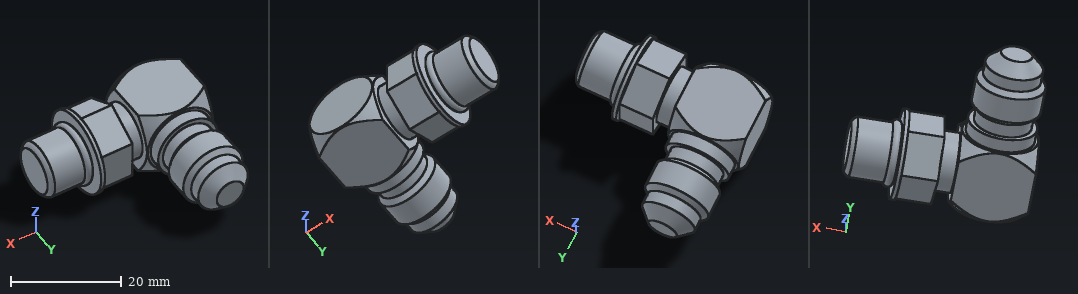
import cadquery as cq
import math

BLOCK_SIZE = 14.27
BLOCK_HALF = BLOCK_SIZE / 2
BLOCK_FACE_RADIUS = 7.0

FLARE_END_Y = 24.0
FLARE_COLLAR_RADIUS = 6.39
FLARE_NECK_RADIUS = 5.34
FLARE_TIP_RADIUS = 2.9
FLARE_FOOT_END_Y = 9.65
FLARE_COLLAR_START_Y = 13.25
FLARE_COLLAR_END_Y = 18.12
FLARE_COLLAR_CHAMFER = FLARE_COLLAR_RADIUS - FLARE_NECK_RADIUS
FLARE_CONE_HEIGHT = FLARE_NECK_RADIUS - FLARE_TIP_RADIUS

OVERALL_LENGTH_X = 34.04
STUD_END_X = OVERALL_LENGTH_X - BLOCK_HALF
STUD_RADIUS = 5.56
STUD_CHAMFER = 1.0
STUD_CHAMFER_BULGE = 0.13
HEX_SIDES = 6
HEX_START_X = 10.22
HEX_ACROSS_FLATS = 14.0
WASHER_START_X = 16.95
WASHER_END_X = 17.8
WASHER_DIAMETER = 16.7
RING_TUBE_RADIUS = 0.85
RING_CENTRE_RADIUS = 5.35
RING_CENTRE_X = WASHER_END_X + RING_TUBE_RADIUS


def make_block():
    """Cube whose eight corners are turned off by 45 degree cones around Y."""
    cube = cq.Workplane("XY").box(BLOCK_SIZE, BLOCK_SIZE, BLOCK_SIZE)
    widest_radius = BLOCK_FACE_RADIUS + BLOCK_HALF
    double_cone = (
        cq.Workplane("XY")
        .moveTo(0, -BLOCK_HALF)
        .lineTo(BLOCK_FACE_RADIUS, -BLOCK_HALF)
        .lineTo(widest_radius, 0)
        .lineTo(BLOCK_FACE_RADIUS, BLOCK_HALF)
        .lineTo(0, BLOCK_HALF)
        .close()
        .revolve(360, (0, 0, 0), (0, 1, 0))
    )
    return cube.intersect(double_cone)


def make_flare_arm():
    """Stepped round arm with a 45 degree flare cone at its end."""
    profile = [
        (0, 0),
        (FLARE_COLLAR_RADIUS, 0),
        (FLARE_COLLAR_RADIUS, FLARE_FOOT_END_Y),
        (FLARE_NECK_RADIUS, FLARE_FOOT_END_Y),
        (FLARE_NECK_RADIUS, FLARE_COLLAR_START_Y - FLARE_COLLAR_CHAMFER),
        (FLARE_COLLAR_RADIUS, FLARE_COLLAR_START_Y),
        (FLARE_COLLAR_RADIUS, FLARE_COLLAR_END_Y),
        (FLARE_NECK_RADIUS, FLARE_COLLAR_END_Y + FLARE_COLLAR_CHAMFER),
        (FLARE_NECK_RADIUS, FLARE_END_Y - FLARE_CONE_HEIGHT),
        (FLARE_TIP_RADIUS, FLARE_END_Y),
        (0, FLARE_END_Y),
    ]
    return cq.Workplane("XY").polyline(profile).close().revolve(360, (0, 0, 0), (0, 1, 0))


def make_stud():
    """Round stud whose end edge is broken by a slightly bulging chamfer."""
    edge_start_x = STUD_END_X - STUD_CHAMFER
    end_face_radius = STUD_RADIUS - STUD_CHAMFER
    return (
        cq.Workplane("XY")
        .lineTo(0, STUD_RADIUS)
        .lineTo(edge_start_x, STUD_RADIUS)
        .sagittaArc((STUD_END_X, end_face_radius), STUD_CHAMFER_BULGE)
        .lineTo(STUD_END_X, 0)
        .close()
        .revolve(360, (0, 0, 0), (1, 0, 0))
    )


def make_hex_nut():
    """Hexagon with flats facing +Y and -Y and corners pointing up and down."""
    across_corners = HEX_ACROSS_FLATS / math.cos(math.pi / HEX_SIDES)
    corner_up_plane = cq.Plane(origin=(HEX_START_X, 0, 0), xDir=(0, 0, 1), normal=(1, 0, 0))
    hex_length = WASHER_START_X - HEX_START_X
    return cq.Workplane(corner_up_plane).polygon(HEX_SIDES, across_corners).extrude(hex_length)


def make_washer():
    """Thin round washer between the hexagon and the seal ring."""
    return (
        cq.Workplane("YZ", origin=(WASHER_START_X, 0, 0))
        .circle(WASHER_DIAMETER / 2)
        .extrude(WASHER_END_X - WASHER_START_X)
    )


def make_seal_ring():
    """Round-section ring seated against the washer."""
    return (
        cq.Workplane("XY")
        .center(RING_CENTRE_X, RING_CENTRE_RADIUS)
        .circle(RING_TUBE_RADIUS)
        .revolve(360, (0, -RING_CENTRE_RADIUS, 0), (1, -RING_CENTRE_RADIUS, 0))
    )


result = (
    make_block()
    .union(make_flare_arm())
    .union(make_stud())
    .union(make_hex_nut())
    .union(make_washer())
    .union(make_seal_ring())
)